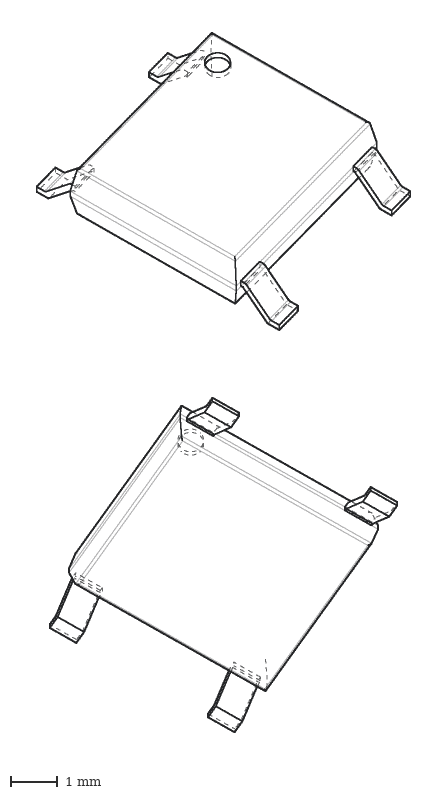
import cadquery as cq
import math

overall_length = 6.45
body_length = 4.41
body_width = 5.0
body_bottom = 0.095
body_top = 1.6
edge_radius = 0.065

lead_thickness = 0.17
band_top = 0.9
band_bottom = band_top - lead_thickness
draft_inset = 0.11

lead_width = 0.67
lead_spacing = 3.99
foot_length = 0.24
shoulder_length = 0.12
foot_bend_radius = 0.08
shoulder_bend_radius = 0.1

mark_diameter = 0.55
mark_depth = 0.155
mark_inset = 0.72


def tapered_half(start, end):
    """Half of the moulded body, narrowing from height start to height end."""
    return (
        cq.Workplane("XY")
        .workplane(offset=start)
        .rect(body_length, body_width)
        .workplane(offset=end - start)
        .rect(body_length - 2 * draft_inset, body_width - 2 * draft_inset)
        .loft(ruled=True)
    )


def make_housing():
    """Moulded body with a straight middle band, rounded rims and a pin-one mark."""
    band = (
        cq.Workplane("XY")
        .workplane(offset=band_bottom)
        .rect(body_length, body_width)
        .extrude(lead_thickness)
    )
    housing = band.union(tapered_half(band_top, body_top))
    housing = housing.union(tapered_half(band_bottom, body_bottom))
    housing = housing.faces("<Z or >Z").edges().fillet(edge_radius)
    mark = (
        cq.Workplane("XY")
        .workplane(offset=body_top - mark_depth)
        .center(mark_inset - body_length / 2, body_width / 2 - mark_inset)
        .circle(mark_diameter / 2)
        .extrude(mark_depth)
    )
    return housing.cut(mark)


def make_lead(side, y_center):
    """Gull-wing lead on the -X (side = -1) or +X (side = 1) face of the body."""
    x_tip = overall_length / 2
    x_body = body_length / 2
    x_foot_bend = x_tip - foot_length
    x_shoulder_bend = x_body + shoulder_length
    slope = math.atan2(band_top - lead_thickness, x_foot_bend - x_shoulder_bend)
    bend_shift = lead_thickness * math.tan(slope / 2)
    profile = [
        (x_body, band_top),
        (x_shoulder_bend, band_top),
        (x_foot_bend, lead_thickness),
        (x_tip, lead_thickness),
        (x_tip, 0),
        (x_foot_bend - bend_shift, 0),
        (x_shoulder_bend - bend_shift, band_bottom),
        (x_body, band_bottom),
    ]
    lead = (
        cq.Workplane("XZ", origin=(0, y_center, 0))
        .polyline([(side * x, z) for x, z in profile])
        .close()
        .extrude(lead_width / 2, both=True)
    )
    x_foot = side * x_foot_bend
    x_shoulder = side * x_shoulder_bend
    lead = lead.edges(cq.NearestToPointSelector((x_foot, y_center, lead_thickness))).fillet(foot_bend_radius)
    return lead.edges(cq.NearestToPointSelector((x_shoulder, y_center, band_top))).fillet(shoulder_bend_radius)


housing = make_housing()
leads = []
for side in (-1, 1):
    for row in (-1, 1):
        leads.append(make_lead(side, row * lead_spacing / 2).val())

result = cq.Compound.makeCompound([housing.val(), *leads])